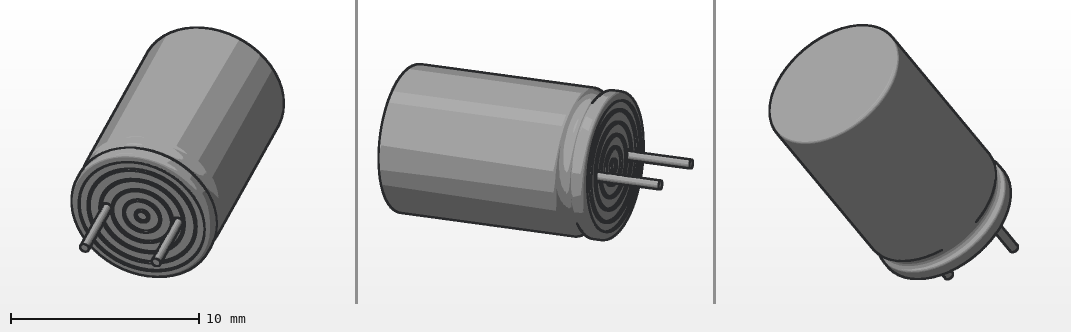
import cadquery as cq
import math

OVERALL_LENGTH = 15.57
CAN_DIAMETER = 7.99
CAN_LENGTH = 12.0
RIM_FILLET = 0.2
CAN_RADIUS = CAN_DIAMETER / 2

GROOVE_CENTER = 1.2
GROOVE_RADIUS = 0.5
GROOVE_DEPTH = 0.3
GROOVE_EDGE_FILLET = 0.2

SEAL_DIAMETER = 7.0
SEAL_RECESS = 0.1
RECESS_CHAMFER = 0.03
RING_COUNT = 5
FIRST_RING_INNER_DIAMETER = 0.59
FIRST_RING_OUTER_DIAMETER = 0.81
RING_WIDTH = (FIRST_RING_OUTER_DIAMETER - FIRST_RING_INNER_DIAMETER) / 2
RING_PITCH = 0.662

LEAD_DIAMETER = 0.5
LEAD_SPACING = 4.0
LEAD_RECESS_DIAMETER = 0.7
LEAD_RECESS_DEPTH = 0.1
LEAD_START = SEAL_RECESS + LEAD_RECESS_DEPTH
LEAD_LENGTH = OVERALL_LENGTH - CAN_LENGTH + LEAD_START
LEAD_POSITIONS = (-LEAD_SPACING / 2, LEAD_SPACING / 2)

AXIS_START = (0, 0, 0)
AXIS_END = (0, 1, 0)


def base_disc(x, start, diameter, length):
    """Round disc at the given X that begins at Y = start and runs out of the base (-Y)."""
    return cq.Workplane("XZ", origin=(x, start, 0)).circle(diameter / 2).extrude(length)


def can_blank():
    """Solid can with rounded rims and a crimp groove that blends into the side."""
    groove_axis = CAN_RADIUS - GROOVE_DEPTH + GROOVE_RADIUS
    fillet_axis = CAN_RADIUS - GROOVE_EDGE_FILLET
    center_distance = GROOVE_RADIUS + GROOVE_EDGE_FILLET
    half_width = math.sqrt(center_distance**2 - (groove_axis - fillet_axis) ** 2)
    share = GROOVE_RADIUS / center_distance
    touch_radius = groove_axis + share * (fillet_axis - groove_axis)
    touch_offset = share * half_width

    return (
        cq.Workplane("XY")
        .lineTo(CAN_RADIUS - RIM_FILLET, 0)
        .radiusArc((CAN_RADIUS, RIM_FILLET), -RIM_FILLET)
        .lineTo(CAN_RADIUS, GROOVE_CENTER - half_width)
        .radiusArc((touch_radius, GROOVE_CENTER - touch_offset), -GROOVE_EDGE_FILLET)
        .radiusArc((touch_radius, GROOVE_CENTER + touch_offset), GROOVE_RADIUS)
        .radiusArc((CAN_RADIUS, GROOVE_CENTER + half_width), -GROOVE_EDGE_FILLET)
        .lineTo(CAN_RADIUS, CAN_LENGTH - RIM_FILLET)
        .radiusArc((CAN_RADIUS - RIM_FILLET, CAN_LENGTH), -RIM_FILLET)
        .lineTo(0, CAN_LENGTH)
        .close()
        .revolve(360, AXIS_START, AXIS_END)
    )


def recess_chamfer():
    """Conical cut that breaks the edge between the base rim and the seal recess."""
    seal_radius = SEAL_DIAMETER / 2
    return (
        cq.Workplane("XY")
        .moveTo(seal_radius, 0)
        .lineTo(seal_radius + RECESS_CHAMFER, 0)
        .lineTo(seal_radius, RECESS_CHAMFER)
        .close()
        .revolve(360, AXIS_START, AXIS_END)
    )


def seal_ring(inner_radius):
    """Upright ring on the seal face, with a half-round top level with the base."""
    outer_radius = inner_radius + RING_WIDTH
    rounding = RING_WIDTH / 2
    return (
        cq.Workplane("XY")
        .moveTo(inner_radius, SEAL_RECESS)
        .lineTo(inner_radius, rounding)
        .threePointArc((inner_radius + rounding, 0), (outer_radius, rounding))
        .lineTo(outer_radius, SEAL_RECESS)
        .close()
        .revolve(360, AXIS_START, AXIS_END)
    )


def make_can():
    """Can with its seal recess, seal rings and lead recesses."""
    can = can_blank().cut(base_disc(0, SEAL_RECESS, SEAL_DIAMETER, SEAL_RECESS)).cut(recess_chamfer())
    for index in range(RING_COUNT):
        can = can.union(seal_ring(FIRST_RING_INNER_DIAMETER / 2 + index * RING_PITCH))
    for x in LEAD_POSITIONS:
        can = can.cut(base_disc(x, LEAD_START, LEAD_RECESS_DIAMETER, LEAD_START))
    return can


def make_lead(x):
    """Straight round lead that stands on the floor of its recess."""
    return base_disc(x, LEAD_START, LEAD_DIAMETER, LEAD_LENGTH)


can = make_can()
leads = [make_lead(x) for x in LEAD_POSITIONS]

result = cq.Compound.makeCompound([can.val(), *[lead.val() for lead in leads]])